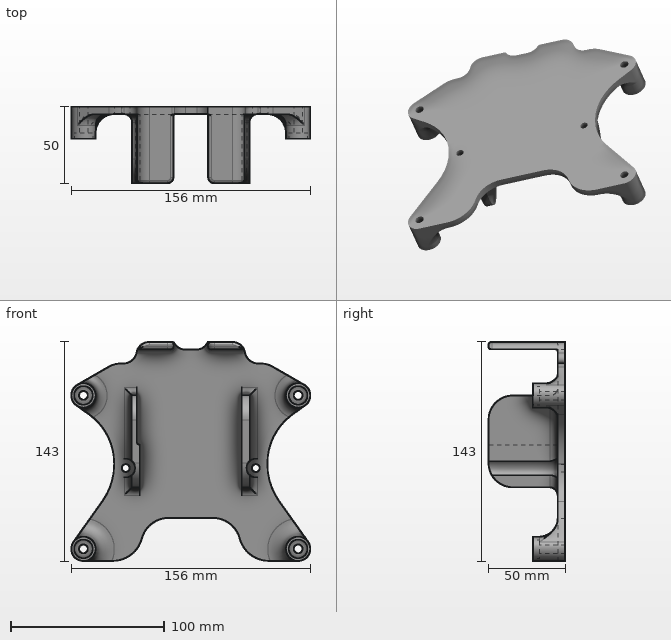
import cadquery as cq
import math


overall_width = 156
plate_thickness = 5.0
total_depth = 50.0

boss_radius = 8.0
boss_x = overall_width / 2 - boss_radius
boss_z = 50.0
boss_height = 21.0
upper_flare = 7.3
lower_flare = 12.0
boss_hole_radius = 2.8
counterbore_radius = 6.1
counterbore_depth = 4.0
counterbore_floor = boss_height - counterbore_depth

waist_x = 50.0
lower_waist_radius = 41.3
upper_waist_radius = 39.0
lower_waist_z = 5.0
upper_waist_z = 6.0
shoulder_radius = 16.0
shoulder_center = (45.4, 54.9)
shoulder_z = shoulder_center[1] + shoulder_radius
neck_x = 43.8
flap_round_x = 27.0
top_z = 85.0
notch_half_width = 3.7
notch_radius = 8.0
notch_z = top_z - plate_thickness
bottom_z = -boss_z - boss_radius
recess_z = -30.0
recess_half_width = 14.5
bay_radius = 18.0
foot_radius = 20.0
left_notch_round = 2.0

flap_inner_x = 11.2
flap_thickness = plate_thickness
flap_corner_radius = 4.0
flap_edge_round = 2.0
flap_root_fillet = 1.0

wall_inner_x = 33.4
wall_thickness = 5.0
wall_bottom_z = -10.0
wall_top_z = boss_z
wall_corner_radius = 16.0
wall_root_fillet = 5.1
relief_depth = 2.0
relief_bottom_z = 18.0

screw_x = 42.5
screw_z = 2.7
screw_hole_radius = 2.5
screw_head_radius = 6.1


def midpoint(a, b):
    return ((a[0] + b[0]) / 2, (a[1] + b[1]) / 2)


def heading(start, end):
    return math.atan2(end[1] - start[1], end[0] - start[0])


def on_circle(center, radius, angle):
    return (center[0] + radius * math.cos(angle), center[1] + radius * math.sin(angle))


def tangent_points(center_a, radius_a, center_b, radius_b, side, crossing):
    """Ends of a line tangent to two circles; a crossing tangent passes between them."""
    axis = heading(center_a, center_b)
    reach = radius_a + radius_b if crossing else radius_a - radius_b
    angle = axis + side * math.acos(reach / math.dist(center_a, center_b))
    angle_b = angle + math.pi if crossing else angle
    return on_circle(center_a, radius_a, angle), on_circle(center_b, radius_b, angle_b)


def arc_middle(center, radius, start, end):
    """Middle of the shorter arc from start to end."""
    return on_circle(center, radius, heading(center, midpoint(start, end)))


def s_bend_radius(run, rise):
    """Radius of two equal arcs that join two parallel lines in a smooth S."""
    return (run ** 2 + rise ** 2) / (4 * abs(rise))


bay_center = (recess_half_width, recess_z - bay_radius)
foot_z = bottom_z + foot_radius
foot_x = recess_half_width + math.sqrt((bay_radius + foot_radius) ** 2 - (foot_z - bay_center[1]) ** 2)
foot_center = (foot_x, foot_z)
neck_radius = s_bend_radius(neck_x - flap_round_x, top_z - shoulder_z)
flap_round_center = (flap_round_x, top_z - neck_radius)
notch_center = (notch_half_width, notch_z + notch_radius)
notch_corner_x = notch_half_width + math.sqrt(notch_radius ** 2 - (notch_center[1] - top_z) ** 2)


def front_plane(depth):
    """XZ sketch plane at a depth in front of the plate's back; extrusion goes further to the front."""
    return cq.Workplane("XZ", origin=(0, -depth, 0))


def arc_to(sketch, center, radius, start, end):
    return sketch.threePointArc(arc_middle(center, radius, start, end), end)


def half_plate(depth):
    """The right half of the plate outline, extruded forward from the back."""
    lower_boss = (boss_x, -boss_z)
    upper_boss = (boss_x, boss_z)
    lower_waist = (waist_x + lower_waist_radius, lower_waist_z)
    upper_waist = (waist_x + upper_waist_radius, upper_waist_z)
    neck_center = (neck_x, shoulder_z + neck_radius)

    bay_start = (recess_half_width, recess_z)
    foot_join = on_circle(bay_center, bay_radius, heading(bay_center, foot_center))
    foot_end = (foot_x, bottom_z)
    boss_bottom = (boss_x, bottom_z)
    leg_start, leg_end = tangent_points(
        lower_boss, boss_radius, lower_waist, lower_waist_radius, -1, True
    )
    arm_root, arm_start = tangent_points(
        upper_waist, upper_waist_radius, upper_boss, boss_radius, 1, True
    )
    waist_low = (waist_x, lower_waist_z)
    waist_high = (waist_x, upper_waist_z)
    arm_end, shoulder_start = tangent_points(
        upper_boss, boss_radius, shoulder_center, shoulder_radius, -1, False
    )
    shoulder_end = (shoulder_center[0], shoulder_z)
    neck_start = (neck_x, shoulder_z)
    neck_join = midpoint(neck_center, flap_round_center)
    flap_round_end = (flap_round_x, top_z)
    notch_corner = (notch_corner_x, top_z)
    notch_end = (notch_half_width, notch_z)

    outline = front_plane(0).moveTo(0, recess_z).lineTo(*bay_start)
    outline = arc_to(outline, bay_center, bay_radius, bay_start, foot_join)
    outline = arc_to(outline, foot_center, foot_radius, foot_join, foot_end)
    outline = outline.lineTo(*boss_bottom)
    outline = arc_to(outline, lower_boss, boss_radius, boss_bottom, leg_start)
    outline = outline.lineTo(*leg_end)
    outline = arc_to(outline, lower_waist, lower_waist_radius, leg_end, waist_low)
    outline = outline.lineTo(*waist_high)
    outline = arc_to(outline, upper_waist, upper_waist_radius, waist_high, arm_root)
    outline = outline.lineTo(*arm_start)
    outline = arc_to(outline, upper_boss, boss_radius, arm_start, arm_end)
    outline = outline.lineTo(*shoulder_start)
    outline = arc_to(outline, shoulder_center, shoulder_radius, shoulder_start, shoulder_end)
    outline = outline.lineTo(*neck_start)
    outline = arc_to(outline, neck_center, neck_radius, neck_start, neck_join)
    outline = arc_to(outline, flap_round_center, neck_radius, neck_join, flap_round_end)
    outline = outline.lineTo(*notch_corner)
    outline = arc_to(outline, notch_center, notch_radius, notch_corner, notch_end)
    return outline.lineTo(0, notch_z).close().extrude(depth)


def rod(x, z, radius, start, end):
    """A cylinder along Y between two depths in front of the plate's back."""
    return front_plane(start).center(x, z).circle(radius).extrude(end - start)


def boss(x, z, flare):
    """A round boss with a concave flare running down onto the plate."""
    root = (boss_radius + flare, -plate_thickness)
    flare_top = (boss_radius, -plate_thickness - flare)
    flare_center = (root[0], flare_top[1])
    profile = cq.Workplane("XY").lineTo(root[0], 0).lineTo(*root)
    profile = arc_to(profile, flare_center, flare, root, flare_top)
    profile = profile.lineTo(boss_radius, -boss_height).lineTo(0, -boss_height).close()
    return profile.revolve(360, (0, 0, 0), (0, 1, 0)).translate((x, 0, z))


def wall():
    """The right side wall, flared onto the plate on its outer, upper and lower sides."""
    outer_x = wall_inner_x + wall_thickness
    root_y = -plate_thickness
    flare_y = root_y - wall_root_fillet
    tip_y = -total_depth

    root = (outer_x + wall_root_fillet, root_y)
    flare_top = (outer_x, flare_y)
    plan = cq.Workplane("XY").moveTo(wall_inner_x, 0).lineTo(root[0], 0).lineTo(*root)
    plan = arc_to(plan, (root[0], flare_y), wall_root_fillet, root, flare_top)
    plan = plan.lineTo(outer_x, tip_y).lineTo(wall_inner_x, tip_y).close()
    low_root = (root_y, wall_bottom_z - wall_root_fillet)
    high_root = (root_y, wall_top_z + wall_root_fillet)
    plan_solid = plan.extrude(high_root[1] - low_root[1]).translate((0, 0, low_root[1]))

    low_flare = (flare_y, wall_bottom_z)
    low_corner_center = (tip_y + wall_corner_radius, wall_bottom_z + wall_corner_radius)
    low_corner = ((low_corner_center[0], wall_bottom_z), (tip_y, low_corner_center[1]))
    high_corner_center = (low_corner_center[0], wall_top_z - wall_corner_radius)
    high_corner = ((tip_y, high_corner_center[1]), (high_corner_center[0], wall_top_z))
    high_flare = (flare_y, wall_top_z)
    side = cq.Workplane("YZ").moveTo(0, low_root[1]).lineTo(*low_root)
    side = arc_to(side, (flare_y, low_root[1]), wall_root_fillet, low_root, low_flare)
    side = side.lineTo(*low_corner[0])
    side = arc_to(side, low_corner_center, wall_corner_radius, *low_corner)
    side = side.lineTo(*high_corner[0])
    side = arc_to(side, high_corner_center, wall_corner_radius, *high_corner)
    side = side.lineTo(*high_flare)
    side = arc_to(side, (flare_y, high_root[1]), wall_root_fillet, high_flare, high_root)
    side_solid = side.lineTo(0, high_root[1]).close().extrude(root[0])
    return plan_solid.intersect(side_solid)


def left_wall_relief():
    """Clears the inner face of the left wall above its lower half."""
    height = wall_top_z + wall_root_fillet - relief_bottom_z
    depth = total_depth - plate_thickness
    block = cq.Workplane("XY").box(2 * relief_depth, depth, height, centered=(True, False, False))
    block = block.translate((-wall_inner_x, -total_depth, relief_bottom_z))
    return block.edges("|Y and <X and <Z").fillet(relief_depth)


def flap():
    """The right top flap: rounded inner, outer and tip edges."""
    under_z = top_z - flap_thickness
    drop = flap_round_center[1] - under_z
    outer = (flap_round_x + math.sqrt(neck_radius ** 2 - drop ** 2), under_z)
    round_end = (flap_round_x, top_z)
    profile = front_plane(plate_thickness).moveTo(flap_inner_x, under_z).lineTo(*outer)
    profile = arc_to(profile, flap_round_center, neck_radius, outer, round_end)
    body = profile.lineTo(flap_inner_x, top_z).close().extrude(total_depth - plate_thickness)
    body = body.faces("<Y").edges("<X").fillet(flap_corner_radius)
    return body.faces("<Y").edges().fillet(flap_edge_round)


def flap_root():
    """The fillet between the flap and the plate, trimmed to the plate outline."""
    width = boss_x - flap_inner_x
    collar_depth = plate_thickness + 2 * flap_root_fillet
    collar = front_plane(0).rect(width, flap_thickness, centered=False).extrude(collar_depth)
    collar = collar.translate((flap_inner_x, 0, top_z - flap_thickness))
    collar = collar.edges("|Y and <X").fillet(flap_edge_round)
    footing = front_plane(0).rect(boss_x, top_z, centered=False).extrude(plate_thickness)
    footing = footing.translate((0, 0, shoulder_z))
    rooted = collar.union(footing)
    inner_root = cq.selectors.NearestToPointSelector(
        (flap_inner_x, -plate_thickness, top_z - flap_thickness / 2)
    )
    rooted = rooted.edges(inner_root).fillet(flap_root_fillet)
    return rooted.intersect(half_plate(collar_depth))


right_half = half_plate(plate_thickness)
for z, flare in ((-boss_z, lower_flare), (boss_z, upper_flare)):
    right_half = right_half.union(boss(boss_x, z, flare).intersect(half_plate(boss_height)))
right_half = right_half.union(wall()).union(flap()).union(flap_root())

for z in (-boss_z, boss_z):
    right_half = right_half.cut(rod(boss_x, z, boss_hole_radius, 0, boss_height))
    right_half = right_half.cut(rod(boss_x, z, counterbore_radius, counterbore_floor, boss_height))
right_half = right_half.cut(rod(screw_x, screw_z, screw_hole_radius, 0, plate_thickness))
right_half = right_half.cut(rod(screw_x, screw_z, screw_head_radius, plate_thickness, total_depth))

left_half = right_half.mirror("YZ").cut(left_wall_relief())
notch_corner_edge = cq.selectors.NearestToPointSelector((-notch_corner_x, -plate_thickness / 2, top_z))
left_half = left_half.edges(notch_corner_edge).fillet(left_notch_round)

result = right_half.union(left_half)